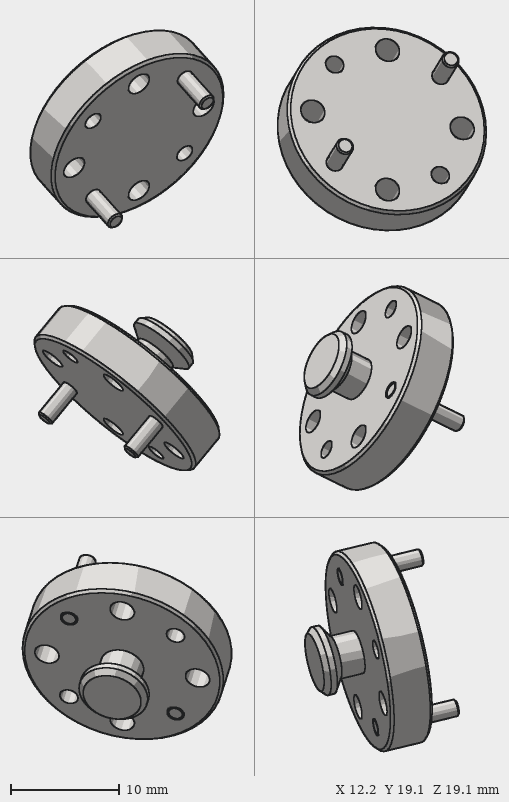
import cadquery as cq
import math

disc_diameter = 19.05
disc_thickness = 4.08
disc_chamfer = 0.27

knob_length = 4.25
neck_diameter = 4.08
head_diameter = 6.52
head_chamfer = 0.51
head_rim_width = 0.61
head_flare_length = 0.85

pitch_radius = 7.15
large_hole_diameter = 2.29
large_hole_angles = (0, 90, 180, 270)
small_hole_diameter = 1.71
small_hole_angles = (135, 315)

pin_diameter = 1.6
pin_projection = 3.87
pin_length = disc_thickness + pin_projection
pin_chamfer = 0.15
pin_angles = (45, 225)


def pitch_point(angle):
    """(Y, Z) position on the pitch circle, with the angle measured from +Y toward +Z."""
    radians = math.radians(angle)
    return pitch_radius * math.cos(radians), pitch_radius * math.sin(radians)


def cylinders(diameter, length, angles):
    """Cylinders on the pitch circle, running from the front face toward +X."""
    return (
        cq.Workplane("YZ")
        .pushPoints([pitch_point(angle) for angle in angles])
        .circle(diameter / 2)
        .extrude(length)
    )


def make_disc():
    return (
        cq.Workplane("YZ")
        .circle(disc_diameter / 2)
        .extrude(disc_thickness)
        .edges()
        .chamfer(disc_chamfer)
    )


def make_knob():
    """Half profile in X and Y, revolved about the X axis."""
    tip_x = -knob_length
    rim_start_x = tip_x + head_chamfer
    rim_end_x = rim_start_x + head_rim_width
    flare_end_x = rim_end_x + head_flare_length
    head_radius = head_diameter / 2
    neck_radius = neck_diameter / 2
    profile = [
        (tip_x, 0),
        (tip_x, head_radius - head_chamfer),
        (rim_start_x, head_radius),
        (rim_end_x, head_radius),
        (flare_end_x, neck_radius),
        (0, neck_radius),
        (0, 0),
    ]
    return cq.Workplane("XY").polyline(profile).close().revolve(360, (0, 0, 0), (1, 0, 0))


def make_flange():
    """Disc and knob in one piece, with through holes and straight bores for the pins."""
    return (
        make_disc()
        .union(make_knob())
        .cut(cylinders(large_hole_diameter, disc_thickness, large_hole_angles))
        .cut(cylinders(small_hole_diameter, disc_thickness, small_hole_angles))
        .cut(cylinders(pin_diameter, disc_thickness, pin_angles))
    )


def make_pin(angle):
    """Dowel pin chamfered at both ends."""
    return cylinders(pin_diameter, pin_length, [angle]).faces("<X or >X").chamfer(pin_chamfer)


flange = make_flange()
pins = [make_pin(angle) for angle in pin_angles]

result = cq.Compound.makeCompound([flange.val(), *[pin.val() for pin in pins]])